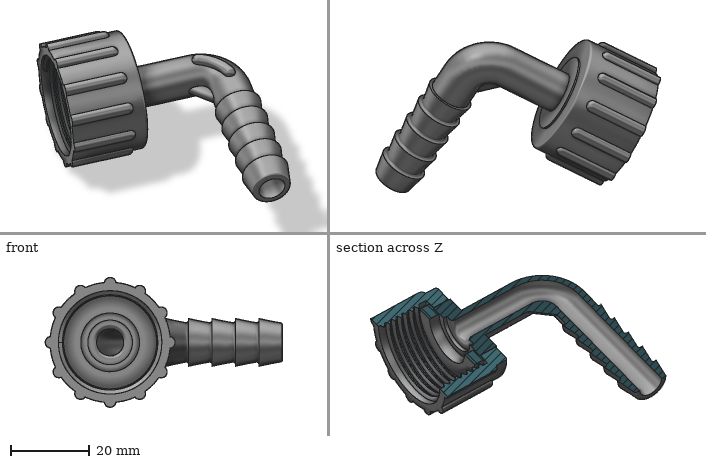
import cadquery as cq
import math


nut_radius = 15.4
nut_height = 20.0
nut_edge_fillet = 0.7
nut_floor_y = 15.05
grip_count = 12
grip_radius = 1.5
grip_outer_radius = 16.6
grip_height = 15.05

thread_root_radius = 13.2
thread_crest_radius = 12.2
thread_pitch = 1.8
thread_turns = 6.5
thread_crest_width = 0.35
thread_flank_angle = 27.5
thread_start_y = 0.5
thread_embed = 0.25

gasket_outer_radius = 11.9
gasket_inner_radius = 7.5
gasket_thickness = 3.05

tube_radius = 5.3
bore_radius = 3.45
bend_radius = 8.0
arm_y = 44.3
arm_end_x = 44.0

hub_radius = 10.0
hub_stand_out = 0.4
hub_recess_radius = 5.7
hub_recess_depth = 1.05
bore_mouth_rounding = 1.05

barb_count = 5
barb_pitch = 6.0
barb_tip_radius = 6.1
barb_tail_radius = 5.05
barb_fillet = 0.55
first_barb_x = 14.25

brace_reach = 10.4
gusset_half_width = 1.2
gusset_rounding_share = 0.99
bead_radius = 1.5
bead_arc_radius = 11.2
bead_arc_angle = 48.0
bead_centre_z = 5.2

diagonal = math.sin(math.radians(45))


def y_cylinder(radius, y_start, y_end):
    """Cylinder on the Y axis between two heights."""
    return cq.Workplane("XZ", origin=(0, y_start, 0)).circle(radius).extrude(y_start - y_end)


def dome(radius):
    """Half ball on the XZ plane, bulging towards +Y."""
    return (
        cq.Workplane("XY")
        .lineTo(radius, 0)
        .threePointArc((radius * diagonal, radius * diagonal), (0, radius))
        .close()
        .revolve(360, (0, 0), (0, 1))
    )


def make_grip():
    """Grip rib with a domed end, on the +X side of the nut."""
    centre_x = grip_outer_radius - grip_radius
    rod = y_cylinder(grip_radius, 0, grip_height)
    tip = dome(grip_radius).translate((0, grip_height, 0))
    return rod.union(tip).translate((centre_x, 0, 0))


def make_thread():
    """Right-hand helical ridge that starts on the -X side near the mouth."""
    flank_slope = math.tan(math.radians(thread_flank_angle))
    base_radius = thread_root_radius + thread_embed
    half_crest = thread_crest_width / 2
    half_root = half_crest + (thread_root_radius - thread_crest_radius) * flank_slope
    half_base = half_root + thread_embed * flank_slope
    path = cq.Wire.makeHelix(thread_pitch, thread_pitch * thread_turns, thread_root_radius)
    ridge = (
        cq.Workplane("XZ")
        .moveTo(base_radius, -half_base)
        .lineTo(thread_crest_radius, -half_crest)
        .lineTo(thread_crest_radius, half_crest)
        .lineTo(base_radius, half_base)
        .close()
        .sweep(cq.Workplane(path), isFrenet=True)
    )
    return (
        ridge.rotate((0, 0, 0), (0, 0, 1), 180)
        .rotate((0, 0, 0), (1, 0, 0), -90)
        .translate((0, thread_start_y + half_root, 0))
    )


def make_nut():
    """Threaded cap with grip ribs and a hole in its floor for the hub."""
    nut = y_cylinder(nut_radius, 0, nut_height).faces(">Y").edges().fillet(nut_edge_fillet)
    grip = make_grip()
    for index in range(grip_count):
        nut = nut.union(grip.rotate((0, 0, 0), (0, 1, 0), index * 360 / grip_count))
    nut = nut.cut(y_cylinder(thread_root_radius, 0, nut_floor_y))
    nut = nut.cut(y_cylinder(hub_radius, nut_floor_y, nut_height))
    return nut.union(make_thread())


def make_gasket():
    """Flat ring lying on the floor of the nut and the face of the hub."""
    face_y = nut_floor_y - gasket_thickness
    ring = y_cylinder(gasket_outer_radius, face_y, nut_floor_y)
    return ring.cut(y_cylinder(gasket_inner_radius, face_y, nut_floor_y))


def make_bent_rod(radius, y_start, x_end):
    """Round rod up the Y axis, through the bend and along +X."""
    bend_start_y = arm_y - bend_radius
    stem = y_cylinder(radius, y_start, bend_start_y)
    bend = (
        cq.Workplane("XZ", origin=(0, bend_start_y, 0))
        .circle(radius)
        .revolve(90, (bend_radius, 0.6), (bend_radius, 0))
    )
    arm = (
        cq.Workplane("YZ", origin=(bend_radius, arm_y, 0))
        .circle(radius)
        .extrude(x_end - bend_radius)
    )
    return stem.union(bend).union(arm)


def make_barb(start_x, end_x, root_rise):
    """Barb tapering towards +X; its tail arc rises, or falls if root_rise is negative."""
    length = end_x - start_x
    tail = length - barb_fillet
    arc_end_radius = barb_tail_radius + root_rise
    return (
        cq.Workplane("XY")
        .lineTo(0, barb_tip_radius)
        .lineTo(tail, barb_tail_radius)
        .threePointArc(
            (tail + barb_fillet * diagonal, arc_end_radius - root_rise * diagonal),
            (length, arc_end_radius),
        )
        .lineTo(length, 0)
        .close()
        .revolve(360, (0, 0), (1, 0))
        .translate((start_x, arm_y, 0))
    )


def make_barbs():
    """Row of barbs: hollow roots between them, a rounded edge at the end of the arm."""
    ends = [arm_end_x - index * barb_pitch for index in reversed(range(barb_count))]
    starts = [first_barb_x] + ends[:-1]
    barbs = make_barb(starts[-1], ends[-1], -barb_fillet)
    for start_x, end_x in zip(starts[:-1], ends[:-1]):
        barbs = barbs.union(make_barb(start_x, end_x, barb_fillet))
    return barbs


def make_gusset():
    """Rounded 45 degree web that fills the inner corner of the bend."""
    corner_y = arm_y - brace_reach
    web = (
        cq.Workplane("XY", origin=(0, 0, -gusset_half_width))
        .moveTo(0, arm_y)
        .lineTo(0, corner_y - tube_radius)
        .lineTo(brace_reach + tube_radius, arm_y)
        .close()
        .extrude(2 * gusset_half_width)
    )
    slope = web.faces(cq.selectors.DirectionMinMaxSelector(cq.Vector(1, -1, 0)))
    return slope.edges("not |Z").fillet(gusset_rounding_share * gusset_half_width)


def make_bead():
    """Curved bead with domed ends, set on the +Z side of the bend."""
    centre_x = brace_reach
    centre_y = arm_y - brace_reach
    first_angle = 135 - bead_arc_angle / 2
    start = (centre_x + bead_arc_radius, centre_y, bead_centre_z)
    pivot_low = (centre_x, centre_y, 0)
    pivot_high = (centre_x, centre_y, 1)
    ring_arc = (
        cq.Workplane("XZ", origin=start)
        .circle(bead_radius)
        .revolve(bead_arc_angle, (-bead_arc_radius, 0), (-bead_arc_radius, 1))
    )
    near_dome = dome(bead_radius).rotate((0, 0, 0), (0, 0, 1), 180).translate(start)
    far_dome = dome(bead_radius).translate(start).rotate(pivot_low, pivot_high, bead_arc_angle)
    return ring_arc.union(near_dome).union(far_dome).rotate(pivot_low, pivot_high, first_angle)


def make_bore_mouth():
    """Cutter for the recess in the hub and the rounded entry of the bore."""
    recess_y = nut_floor_y + hub_recess_depth
    recess = y_cylinder(hub_recess_radius, nut_floor_y, recess_y)
    middle = bore_mouth_rounding * (1 - diagonal)
    entry = (
        cq.Workplane("XY", origin=(0, recess_y, 0))
        .lineTo(bore_radius + bore_mouth_rounding, 0)
        .threePointArc((bore_radius + middle, middle), (bore_radius, bore_mouth_rounding))
        .lineTo(0, bore_mouth_rounding)
        .close()
        .revolve(360, (0, 0), (0, 1))
    )
    return recess.union(entry)


def make_elbow():
    """Bent tube with its hub, barbs, gusset and a bead on each side, bored through."""
    hub = y_cylinder(hub_radius, nut_floor_y, nut_height + hub_stand_out)
    bead = make_bead()
    elbow = (
        make_bent_rod(tube_radius, nut_floor_y, first_barb_x)
        .union(bead)
        .union(bead.mirror("XY"))
        .union(hub)
        .union(make_barbs())
        .union(make_gusset())
    )
    return elbow.cut(make_bent_rod(bore_radius, nut_floor_y, arm_end_x)).cut(make_bore_mouth())


nut = make_nut()
gasket = make_gasket()
elbow = make_elbow()

result = cq.Compound.makeCompound([nut.solids().val(), gasket.val(), elbow.solids().val()])